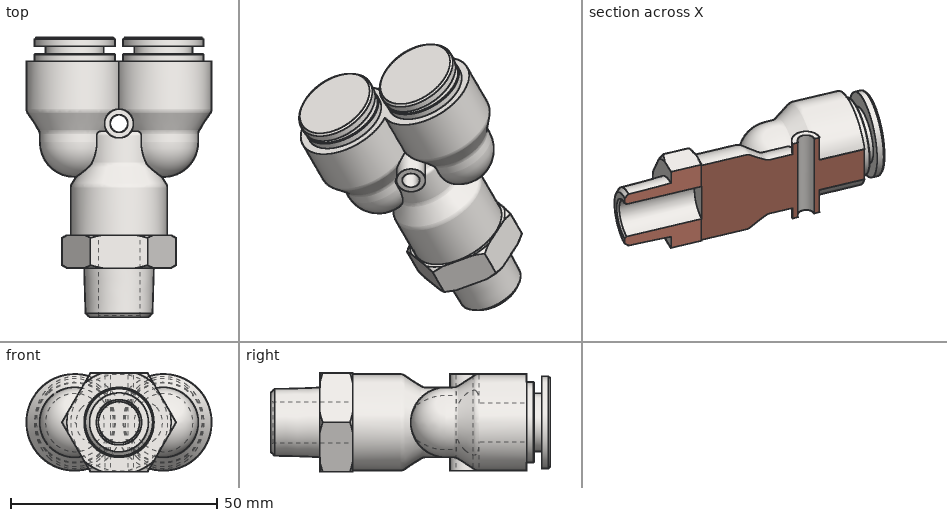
import cadquery as cq
import math


hex_start = 11.95
body_start = 19.95
body_end = 62.15
overall_length = 67.9

hex_across_flats = 24.0
hex_face_diameter = 25.3
hex_bevel_angle = 30.0
thread_root_diameter = 17.0
thread_taper = 1 / 16
thread_end_chamfer = 1.0
bore_diameter = 10.0
bore_chamfer = 0.5

large_diameter = 23.5
small_diameter = 17.0
branch_spacing = 21.5
shoulder_length = 5.0
shoulder_blend = 1.8
stem_shoulder_start = 32.0
stem_end = 45.1
stem_end_fillet = 1.0
dome_center = 42.5
branch_shoulder_start = 45.0

cross_tube_y = 47.0
cross_tube_diameter = 7.0
cross_tube_bore = 4.2

collar_diameter = 19.6
collar_thickness = 1.8
collar_chamfer = 0.2
sleeve_neck_diameter = 14.2
flange_width = 19.6
flange_height = 22.4
flange_thickness = 2.15
flange_chamfer = 0.5

branch_positions = [-branch_spacing / 2, branch_spacing / 2]
large_radius = large_diameter / 2
small_radius = small_diameter / 2


def plane_at(y, x=0.0):
    """Work plane facing +Y at the given place, with local x along X."""
    return cq.Workplane(cq.Plane(origin=(x, y, 0), xDir=(1, 0, 0), normal=(0, 1, 0)))


def revolve_about_y(profile):
    """Turn a closed profile, drawn as (radius, y), about the Y axis."""
    return profile.close().revolve(360, (0, 0, 0), (0, 1, 0))


def fillet_ring(solid, y, radius):
    """Round the circular edges whose centre lies at height y."""
    half_window = 0.1
    reach = large_diameter
    window = cq.selectors.BoxSelector(
        (-reach, y - half_window, -reach),
        (reach, y + half_window, reach),
    )
    return solid.edges(window).fillet(radius)


def make_fitting():
    across_corners = hex_across_flats / math.cos(math.pi / 6)
    hex_length = body_start - hex_start
    hexagon = plane_at(hex_start).polygon(6, across_corners).extrude(hex_length)
    face_radius = hex_face_diameter / 2
    corner_radius = across_corners / 2
    bevel = (corner_radius - face_radius) * math.tan(math.radians(hex_bevel_angle))
    bevel_envelope = revolve_about_y(
        cq.Workplane("XY")
        .moveTo(0, hex_start)
        .lineTo(face_radius, hex_start)
        .lineTo(corner_radius, hex_start + bevel)
        .lineTo(corner_radius, body_start - bevel)
        .lineTo(face_radius, body_start)
        .lineTo(0, body_start)
    )
    hexagon = hexagon.intersect(bevel_envelope)

    root_radius = thread_root_diameter / 2
    taper_length = hex_start - thread_end_chamfer
    tip_radius = root_radius - taper_length * thread_taper / 2
    thread = revolve_about_y(
        cq.Workplane("XY")
        .moveTo(0, 0)
        .lineTo(tip_radius - thread_end_chamfer, 0)
        .lineTo(tip_radius, thread_end_chamfer)
        .lineTo(root_radius, hex_start)
        .lineTo(0, hex_start)
    )

    bore_radius = bore_diameter / 2
    bore = revolve_about_y(
        cq.Workplane("XY")
        .moveTo(0, 0)
        .lineTo(bore_radius + bore_chamfer, 0)
        .lineTo(bore_radius, bore_chamfer)
        .lineTo(bore_radius, body_start)
        .lineTo(0, body_start)
    )
    return hexagon.union(thread).cut(bore)


def make_stem():
    shoulder_end = stem_shoulder_start + shoulder_length
    stem = revolve_about_y(
        cq.Workplane("XY")
        .moveTo(0, body_start)
        .lineTo(large_radius, body_start)
        .lineTo(large_radius, stem_shoulder_start)
        .lineTo(small_radius, shoulder_end)
        .lineTo(small_radius, stem_end)
        .lineTo(0, stem_end)
    )
    stem = fillet_ring(stem, stem_shoulder_start, shoulder_blend)
    stem = fillet_ring(stem, shoulder_end, shoulder_blend)
    return fillet_ring(stem, stem_end, stem_end_fillet)


def make_branch(x):
    """Port barrel, shoulder and neck, closed by a hemispherical dome."""
    shoulder_end = branch_shoulder_start + shoulder_length
    diagonal = small_radius * math.sqrt(0.5)
    branch = revolve_about_y(
        cq.Workplane("XY")
        .moveTo(0, dome_center - small_radius)
        .threePointArc((diagonal, dome_center - diagonal), (small_radius, dome_center))
        .lineTo(small_radius, branch_shoulder_start)
        .lineTo(large_radius, shoulder_end)
        .lineTo(large_radius, body_end)
        .lineTo(0, body_end)
    )
    branch = fillet_ring(branch, branch_shoulder_start, shoulder_blend)
    branch = fillet_ring(branch, shoulder_end, shoulder_blend)
    return branch.translate((x, 0, 0))


def make_body():
    body = make_stem()
    for x in branch_positions:
        body = body.union(make_branch(x))
    cross_plane = cq.Workplane("XY", origin=(0, cross_tube_y, 0))
    cross_tube = cross_plane.circle(cross_tube_diameter / 2).extrude(large_radius, both=True)
    cross_hole = cross_plane.circle(cross_tube_bore / 2).extrude(large_radius, both=True)
    return body.union(cross_tube).cut(cross_hole)


def make_collar(x):
    collar = plane_at(body_end, x).circle(collar_diameter / 2).extrude(collar_thickness)
    return collar.faces(">Y").edges().chamfer(collar_chamfer)


def make_release_sleeve(x):
    """Round neck carrying an oval push flange."""
    neck_start = body_end + collar_thickness
    flange_start = overall_length - flange_thickness
    neck = plane_at(neck_start, x).circle(sleeve_neck_diameter / 2).extrude(flange_start - neck_start)
    flange = plane_at(flange_start, x).ellipse(flange_width / 2, flange_height / 2).extrude(flange_thickness)
    flange = flange.faces(">Y").edges().chamfer(flange_chamfer)
    return neck.union(flange)


fitting = make_fitting()
body = make_body()
collars = [make_collar(x) for x in branch_positions]
release_sleeves = [make_release_sleeve(x) for x in branch_positions]

result = cq.Compound.makeCompound([
    fitting.val(),
    body.val(),
    *[collar.val() for collar in collars],
    *[sleeve.val() for sleeve in release_sleeves],
])